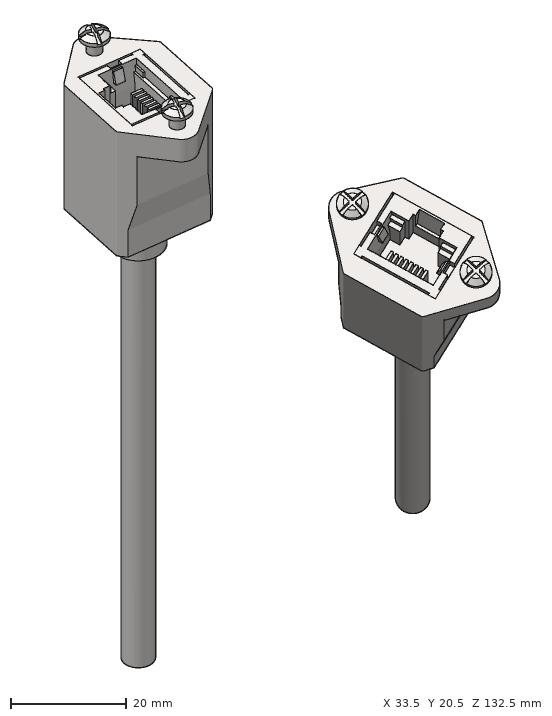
import cadquery as cq

overall_height = 132.5
face_z = 127.9
flange_thickness = 5.0
housing_height = 27.8
collar_length = 7.2
housing_base_z = face_z - housing_height
collar_base_z = housing_base_z - collar_length
flange_base_z = face_z - flange_thickness

flat_half_width = 8.0
housing_width = 33.5
housing_depth = 20.5
housing_half_width = housing_width / 2
edge_radius = 0.5
ear_half_width = 16.0
ear_half_depth = 2.0
waist_half_width = 10.6
base_half_width = 9.4
waist_taper_top_z = 112.0
waist_taper_base_z = 106.0
collar_radius = 5.0
cable_radius = 3.0

screw_x = 12.5
screw_y = -0.5
shank_radius = 1.5
shank_base_z = 121.4
head_radius = 2.8
head_rim_height = 0.8
head_height = 1.6
head_top_radius = 1.6
cross_width = 0.8
cross_length = 5.8
cross_depth = 1.0
cross_angle = -16.0

pocket_half_width = 8.2
pocket_top_y = 6.2
pocket_base_y = -7.0
pocket_depth = 15.9
side_gap = 0.4
shoulder_y = 4.4
top_gap = 0.4
top_gap_half_width = 6.8

mouth_half_width = 6.6
cavity_half_width = 5.8
mouth_top_y = 4.2
mouth_base_y = -3.8
mouth_depth = 5.3
cavity_top_y = 3.5
cavity_base_y = -2.1
cavity_depth = 9.3
upper_ledge_depth = 2.5
upper_corner_y = 3.8
upper_corner_depth = 1.3
notch_half_width = 3.8
lower_ledge_depth = 2.5
lower_step_y = -3.0
lower_step_depth = 1.3
latch_half_width = 3.0
latch_base_y = -5.3
latch_channel_half_width = 2.5
latch_channel_face_y = -6.6
latch_channel_inner_y = -5.8

latch_hole_y = 0.1
latch_hole_height = 2.4
latch_hole_inner_x = 6.9
latch_hole_depth = 2.0
nub_height = 2.0
nub_face_x = 6.2
nub_tip_x = 5.5
nub_start_depth = 0.4
nub_end_depth = 2.9
contact_count = 8
contact_pitch = 1.0
contact_row_width = contact_count * contact_pitch
contact_width = 0.5
contact_tip_y = 1.0
contact_top_depth = 4.5


def box_between(x0, x1, y0, y1, z0, z1):
    """Box filling the given range along each axis."""
    return cq.Workplane("XY").box(x1 - x0, y1 - y0, z1 - z0, centered=False).translate((x0, y0, z0))


def from_face(half_width, y0, y1, depth, start=0.0):
    """Box centred on X that reaches from one depth below the front face to another."""
    return box_between(-half_width, half_width, y0, y1, face_z - depth, face_z - start)


def on_both_sides(shape):
    """The shape together with its mirror image across the YZ plane."""
    return shape.union(shape.mirror("YZ"))


def housing_block():
    """Six-sided prism with rounded ears."""
    half_depth = housing_depth / 2
    ear_top_y = screw_y + ear_half_depth
    ear_base_y = screw_y - ear_half_depth
    block = (
        cq.Workplane("XY", origin=(0, 0, housing_base_z))
        .moveTo(-flat_half_width, half_depth)
        .lineTo(flat_half_width, half_depth)
        .lineTo(ear_half_width, ear_top_y)
        .threePointArc((housing_half_width, screw_y), (ear_half_width, ear_base_y))
        .lineTo(flat_half_width, -half_depth)
        .lineTo(-flat_half_width, -half_depth)
        .lineTo(-ear_half_width, ear_base_y)
        .threePointArc((-housing_half_width, screw_y), (-ear_half_width, ear_top_y))
        .close()
        .extrude(housing_height)
    )
    flat_side_edges = cq.selectors.BoxSelector(
        (-housing_half_width / 2, -half_depth - edge_radius, housing_base_z),
        (housing_half_width / 2, half_depth + edge_radius, face_z),
    )
    return block.edges("|Z").edges(flat_side_edges).fillet(edge_radius)


def housing_profile():
    """Front outline: full width at the ears, tapering waist below them."""
    right_side = [
        (base_half_width, housing_base_z),
        (base_half_width, waist_taper_base_z),
        (waist_half_width, waist_taper_top_z),
        (waist_half_width, flange_base_z),
        (housing_half_width, flange_base_z),
        (housing_half_width, face_z),
    ]
    left_side = [(-x, z) for x, z in reversed(right_side)]
    return (
        cq.Workplane("XZ")
        .polyline(right_side + left_side)
        .close()
        .extrude(housing_depth / 2, both=True)
    )


def jack_pocket():
    return from_face(pocket_half_width, pocket_base_y, pocket_top_y, pocket_depth)


def screw_shank(x):
    return (
        cq.Workplane("XY", origin=(x, screw_y, shank_base_z))
        .circle(shank_radius)
        .extrude(overall_height - head_height - shank_base_z)
    )


def make_housing():
    collar = cq.Workplane("XY", origin=(0, 0, collar_base_z)).circle(collar_radius).extrude(collar_length)
    housing = housing_block().intersect(housing_profile()).union(collar).cut(jack_pocket())
    for x in (-screw_x, screw_x):
        housing = housing.cut(screw_shank(x))
    return housing


def jack_block():
    """Block filling the pocket, with thin gaps along its sides and its top."""
    side_clearance = box_between(
        pocket_half_width - side_gap, pocket_half_width,
        pocket_base_y, shoulder_y, face_z - pocket_depth, face_z,
    )
    top_clearance = from_face(top_gap_half_width, pocket_top_y - top_gap, pocket_top_y, pocket_depth)
    return jack_pocket().cut(on_both_sides(side_clearance)).cut(top_clearance)


def mouth():
    """Opening with side walls that slope inwards, and ledges along its top and in its lower corners."""
    sloped = (
        cq.Workplane("XZ", origin=(0, mouth_top_y, 0))
        .polyline([
            (-mouth_half_width, face_z),
            (mouth_half_width, face_z),
            (cavity_half_width, face_z - mouth_depth),
            (-cavity_half_width, face_z - mouth_depth),
        ])
        .close()
        .extrude(mouth_top_y - mouth_base_y)
    )
    upper_ledge = from_face(mouth_half_width, cavity_top_y, mouth_top_y, mouth_depth, upper_ledge_depth)
    corners = [
        mouth_corner(contact_row_width / 2, upper_corner_y, mouth_top_y, upper_corner_depth),
        mouth_corner(notch_half_width, mouth_base_y, cavity_base_y, lower_ledge_depth),
        mouth_corner(notch_half_width, mouth_base_y, lower_step_y, lower_step_depth),
    ]
    opening = sloped.cut(upper_ledge)
    for corner in corners:
        opening = opening.cut(on_both_sides(corner))
    return opening


def mouth_corner(inner_x, y0, y1, top_depth):
    """Block at one side of the mouth, from the given depth down to the mouth's floor."""
    return box_between(inner_x, mouth_half_width, y0, y1, face_z - mouth_depth, face_z - top_depth)


def cavity():
    """Straight plug space behind the mouth, open below between the two lower ledges."""
    upper = from_face(cavity_half_width, cavity_base_y, cavity_top_y, cavity_depth, mouth_depth)
    lower = from_face(notch_half_width, mouth_base_y, cavity_base_y, cavity_depth, mouth_depth)
    return upper.union(lower)


def latch_channel():
    """Stepped channel below the mouth, whose lowest wall slopes inwards."""
    wide = from_face(latch_half_width, latch_base_y, mouth_base_y, cavity_depth)
    narrow = (
        cq.Workplane("YZ")
        .polyline([
            (mouth_base_y, face_z),
            (latch_channel_face_y, face_z),
            (latch_channel_inner_y, face_z - mouth_depth),
            (mouth_base_y, face_z - mouth_depth),
        ])
        .close()
        .extrude(latch_channel_half_width, both=True)
    )
    return wide.union(narrow)


def contact(index):
    """One fin standing on the cavity floor against its upper wall."""
    x = (index - (contact_count - 1) / 2) * contact_pitch
    return box_between(
        x - contact_width / 2, x + contact_width / 2, contact_tip_y, cavity_top_y,
        face_z - cavity_depth, face_z - contact_top_depth,
    )


def latch_holes():
    """Shallow recesses in the outer sides of the jack."""
    hole = box_between(
        latch_hole_inner_x, pocket_half_width,
        latch_hole_y - latch_hole_height / 2, latch_hole_y + latch_hole_height / 2,
        face_z - latch_hole_depth, face_z,
    )
    return on_both_sides(hole)


def nubs():
    """Wedges on the side walls of the mouth, growing thicker with depth."""
    nub = (
        cq.Workplane("XZ", origin=(0, latch_hole_y + nub_height / 2, 0))
        .polyline([
            (mouth_half_width, face_z - nub_start_depth),
            (nub_face_x, face_z - nub_start_depth),
            (nub_tip_x, face_z - nub_end_depth),
            (mouth_half_width, face_z - nub_end_depth),
        ])
        .close()
        .extrude(nub_height)
    )
    return on_both_sides(nub)


def make_jack():
    jack = jack_block().cut(mouth()).cut(cavity()).cut(latch_channel()).cut(latch_holes()).union(nubs())
    for index in range(contact_count):
        jack = jack.union(contact(index))
    return jack


def make_screw(x):
    """Shank with a rimmed, tapered head and a cross recess."""
    head_base_z = overall_height - head_height
    rim_top_z = head_base_z + head_rim_height
    head = (
        cq.Workplane("XZ")
        .polyline([
            (0, head_base_z),
            (head_radius, head_base_z),
            (head_radius, rim_top_z),
            (head_top_radius, overall_height),
            (0, overall_height),
        ])
        .close()
        .revolve(360, (0, 0, 0), (0, 1, 0))
        .translate((x, screw_y, 0))
    )
    cross = (
        cq.Workplane("XY")
        .box(cross_length, cross_width, cross_depth)
        .union(cq.Workplane("XY").box(cross_width, cross_length, cross_depth))
        .rotate((0, 0, 0), (0, 0, 1), cross_angle)
        .translate((x, screw_y, overall_height - cross_depth / 2))
    )
    return head.union(screw_shank(x)).cut(cross)


def make_cable():
    return cq.Workplane("XY").circle(cable_radius).extrude(collar_base_z)


housing = make_housing()
jack = make_jack()
cable = make_cable()
screws = [make_screw(x) for x in (-screw_x, screw_x)]

bodies = [housing, jack, cable, *screws]
result = cq.Compound.makeCompound([body.solids().val() for body in bodies])